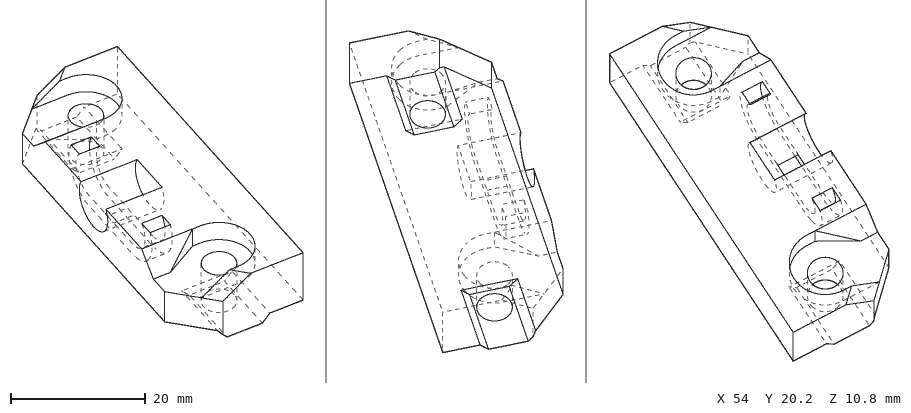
import cadquery as cq
import math

length = 54.0
depth = 20.2
height = 10.8
foot_height = 1.4
body_height = height - foot_height
front_y = -depth / 2

foot_length = 11.0
foot_top_width = 8.7
foot_bottom_width = 6.1

corner_cut = 6.3

hole_diameter = 5.3
hole_x = 19.35
hole_y = 0.1
pocket_radius = 5.35
pocket_depth = 3.4
pocket_floor_z = height - pocket_depth
ramp_width = pocket_depth
ramp_start_y = -1.3
ramp_end_angle = 30.0

groove_radius = 4.15
groove_axis_z = height - 2.03
groove_length = 9.7

tie_width = 3.5
tie_y = -5.4
tie_axis_z = height - 2.45
tie_end_x = 6.4
tie_inner_radius = 3.62
tie_thickness = 2.03


def both_ends(solid):
    """Return the solid together with its mirror image at the other end."""
    return solid.union(solid.mirror("YZ"))


def make_body():
    """Block and feet, with the front corners cut off at 45 degrees."""
    body = cq.Workplane("XY").box(length, depth, body_height, centered=(True, True, False))
    body = body.translate((0, 0, foot_height))
    foot = (
        cq.Workplane("YZ", origin=(length / 2 - foot_length, 0, 0))
        .moveTo(-foot_bottom_width / 2, 0)
        .lineTo(foot_bottom_width / 2, 0)
        .lineTo(foot_top_width / 2, foot_height)
        .lineTo(-foot_top_width / 2, foot_height)
        .close()
        .extrude(foot_length)
    )
    body = body.union(both_ends(foot))
    return body.cut(both_ends(corner_triangle(corner_cut, 0).extrude(height)))


def corner_triangle(leg, z):
    """Closed right-angled triangle at the front right corner, at height z."""
    return (
        cq.Workplane("XY", origin=(length / 2, front_y, z))
        .lineTo(-leg, 0)
        .lineTo(0, leg)
        .close()
    )


def make_corner_bevel():
    """Cutter for the 45 degree bevel on the top edge of the right corner face."""
    bevel_leg = corner_cut + pocket_depth * math.sqrt(2)
    return (
        corner_triangle(corner_cut, pocket_floor_z)
        .workplane(offset=pocket_depth)
        .lineTo(-bevel_leg, 0)
        .lineTo(0, bevel_leg)
        .close()
        .loft(ruled=True)
    )


def make_pocket():
    """Cutter for the right pocket, leaving the ramp on its inner wall."""
    inner_x = hole_x - pocket_radius
    pocket = (
        cq.Workplane("XY", origin=(0, 0, pocket_floor_z))
        .moveTo(inner_x, front_y)
        .lineTo(inner_x, hole_y)
        .threePointArc((hole_x, hole_y + pocket_radius), (hole_x + pocket_radius, hole_y))
        .lineTo(hole_x + pocket_radius, front_y)
        .close()
        .extrude(pocket_depth)
    )
    ramp = (
        cq.Workplane("XZ", origin=(inner_x, 0, pocket_floor_z))
        .lineTo(ramp_width, 0)
        .lineTo(0, pocket_depth)
        .close()
        .extrude(-front_y)
    )
    ramp_foot_y = ramp_start_y - ramp_width / math.tan(math.radians(ramp_end_angle))
    ramp_plan = (
        cq.Workplane("XY", origin=(0, 0, pocket_floor_z))
        .moveTo(inner_x, front_y)
        .lineTo(inner_x, ramp_start_y)
        .lineTo(inner_x + ramp_width, ramp_foot_y)
        .lineTo(inner_x + ramp_width, front_y)
        .close()
        .extrude(pocket_depth)
    )
    return pocket.cut(ramp.intersect(ramp_plan))


def make_screw_hole():
    """Cutter for the right through hole."""
    return cq.Workplane("XY").center(hole_x, hole_y).circle(hole_diameter / 2).extrude(height)


def make_groove():
    """Cutter for the groove in the middle of the front edge."""
    return (
        cq.Workplane("XZ", origin=(0, front_y + groove_length, groove_axis_z))
        .circle(groove_radius)
        .extrude(groove_length)
    )


def tie_loop(radius):
    """Slot-shaped bar along Y with the given end radius."""
    return (
        cq.Workplane("XZ", origin=(0, tie_y + tie_width / 2, tie_axis_z))
        .slot2D(2 * (tie_end_x + radius), 2 * radius)
        .extrude(tie_width)
    )


def make_tie_channel():
    """Cutter for the cable tie channel; the part of the ring above the top face is open air."""
    return tie_loop(tie_inner_radius + tie_thickness).cut(tie_loop(tie_inner_radius))


result = (
    make_body()
    .cut(both_ends(make_corner_bevel()))
    .cut(both_ends(make_pocket()))
    .cut(both_ends(make_screw_hole()))
    .cut(make_groove())
    .cut(make_tie_channel())
)